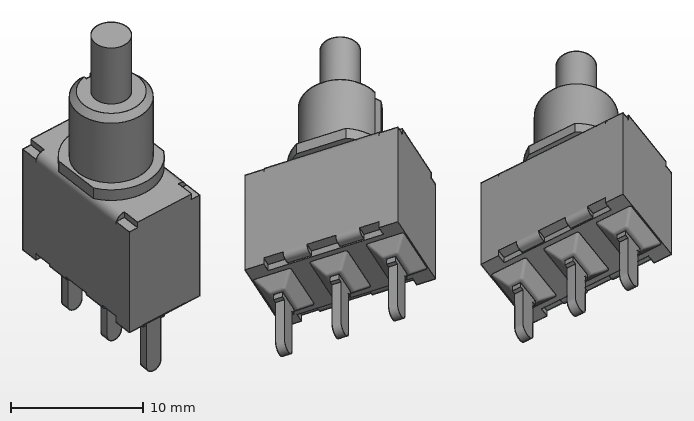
import cadquery as cq


body_length = 12.7
body_width = 6.9
body_height = 10.42
edge_depth = 0.8
fold_half_length = 4.78

top_fold_radius = 0.77
corner_step_height = 0.53

notch_height = 0.62
tab_inner_x = 1.2
tab_outer_x = 3.18
tab_radius = 0.45
tab_clearance = 0.15

flange_diameter = 8.02
flange_height = 1.05
bushing_diameter = 6.35
bushing_height = 6.38
bushing_chamfer = 0.53
keyway_width = 1.0
keyway_depth = 0.83
plunger_diameter = 3.1
plunger_height = 5.5

terminal_pitch = 4.7
terminal_thickness = 0.75
terminal_width = 1.4
terminal_length = 6.35
shoulder_width = 2.08
shoulder_bottom = 1.55
seal_length = 3.15
seal_width = 4.4
seal_height = 1.0
seal_taper = 0.92
seal_fillet = 0.27

flange_top = body_height + flange_height
bushing_top = flange_top + bushing_height


def box_between(x_range, y_range, z_range):
    """Axis-aligned box from its limits along X, Y and Z."""
    size = [high - low for low, high in (x_range, y_range, z_range)]
    corner = (x_range[0], y_range[0], z_range[0])
    return cq.Workplane("XY").box(*size, centered=False).translate(corner)


def edge_rounding(x_range, z_edge, z_inward, radius):
    """Cutter that rounds a stretch of the front long edge at height z_edge."""
    front = -body_width / 2
    z_start = z_edge + z_inward * radius
    corner_block = box_between(x_range, (front, front + radius), sorted((z_edge, z_start)))
    rounding_cylinder = (
        cq.Workplane("YZ", origin=(x_range[0], front + radius, z_start))
        .circle(radius)
        .extrude(x_range[1] - x_range[0])
    )
    return corner_block.cut(rounding_cylinder)


def front_edge_cutters():
    """Everything removed along the front long edges of the housing."""
    half_length = body_length / 2
    y_range = (-body_width / 2, -body_width / 2 + edge_depth)
    step_z = (body_height - corner_step_height, body_height)
    notch_z = (0, notch_height)
    fold = (-fold_half_length, fold_half_length)
    cutters = [
        edge_rounding(fold, body_height, -1, top_fold_radius),
        box_between((-tab_inner_x, tab_inner_x), y_range, notch_z),
    ]
    for side in (-1, 1):
        step_x = sorted((side * fold_half_length, side * half_length))
        notch_x = sorted((side * tab_outer_x, side * fold_half_length))
        tab_x = sorted((side * tab_inner_x, side * tab_outer_x))
        cutters.append(box_between(step_x, y_range, step_z))
        cutters.append(box_between(notch_x, y_range, notch_z))
        cutters.append(box_between(tab_x, y_range, (0, tab_clearance)))
        cutters.append(edge_rounding(tab_x, tab_clearance, 1, tab_radius))
    return cutters


def make_housing():
    housing = cq.Workplane("XY").box(
        body_length, body_width, body_height, centered=(True, True, False)
    )
    for cutter in front_edge_cutters():
        housing = housing.cut(cutter).cut(cutter.mirror("XZ"))
    return housing


def make_actuator():
    """Flange with two flats, keyed bushing and plunger."""
    flange_base = cq.Workplane("XY", origin=(0, 0, body_height))
    flange = flange_base.circle(flange_diameter / 2).extrude(flange_height)
    flats = flange_base.rect(body_length, body_width).extrude(flange_height)
    bushing = (
        cq.Workplane("XY", origin=(0, 0, flange_top))
        .circle(bushing_diameter / 2)
        .extrude(bushing_height)
        .faces(">Z")
        .chamfer(bushing_chamfer)
    )
    bushing_radius = bushing_diameter / 2
    keyway = box_between(
        (-bushing_radius, -bushing_radius + keyway_depth),
        (-keyway_width / 2, keyway_width / 2),
        (flange_top, bushing_top),
    )
    plunger = (
        cq.Workplane("XY", origin=(0, 0, bushing_top))
        .circle(plunger_diameter / 2)
        .extrude(plunger_height)
    )
    return flange.intersect(flats).union(bushing.cut(keyway)).union(plunger)


def make_terminal():
    """Flat terminal with a round tip, a shoulder and a tapered seal."""
    seal = (
        cq.Workplane("XY")
        .rect(seal_length, seal_width)
        .workplane(offset=-seal_height)
        .rect(seal_length - 2 * seal_taper, seal_width - 2 * seal_taper)
        .loft(ruled=True)
        .edges("not >Z")
        .fillet(seal_fillet)
    )
    tip_radius = terminal_width / 2
    tip_start = tip_radius - terminal_length
    blade = (
        cq.Workplane("YZ")
        .moveTo(-shoulder_width / 2, 0)
        .lineTo(-shoulder_width / 2, -shoulder_bottom)
        .lineTo(-tip_radius, -shoulder_bottom)
        .lineTo(-tip_radius, tip_start)
        .threePointArc((0, -terminal_length), (tip_radius, tip_start))
        .lineTo(tip_radius, -shoulder_bottom)
        .lineTo(shoulder_width / 2, -shoulder_bottom)
        .lineTo(shoulder_width / 2, 0)
        .close()
        .extrude(terminal_thickness / 2, both=True)
    )
    return seal.union(blade)


result = make_housing().union(make_actuator())
terminal = make_terminal()
for position in (-1, 0, 1):
    result = result.union(terminal.translate((position * terminal_pitch, 0, 0)))